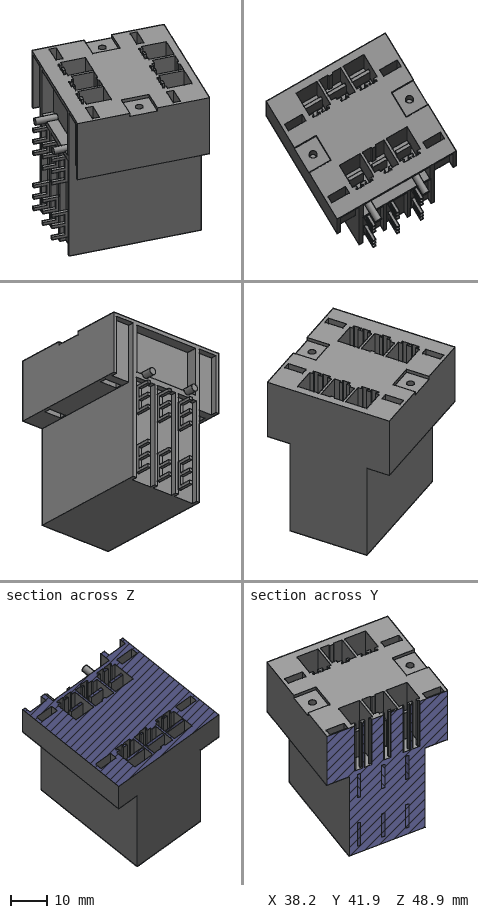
import cadquery as cq


HEIGHT = 48.9
DEPTH = 38.8
HEAD_WIDTH = 38.25
TRUNK_WIDTH = 24.15
HEAD_HEIGHT = 18.8
WALL = 1.05
HEAD_BOTTOM = HEIGHT - HEAD_HEIGHT

WING_RECESS_DEPTH = 1.95
POCKET_WIDTH = 21.3
POCKET_DEPTH = 3.35
POCKET_TOP = HEIGHT - 1.25
POCKET_FLOOR = HEIGHT - 15.9
CHANNEL_WIDTH = 6.65
CHANNEL_DEPTH = 1.75
CHANNEL_TOP = 31.35
POLE_PITCH = 7.65
CHANNEL_SHIFT = 0.1

PIN_REACH = 3.15
PEG_DIAMETER = 2.1
PEG_Z = 33.1

SEAT_LENGTH = 7.05
SEAT_WIDTH = 8.05
SCREW_DIAMETER = 2.15
SCREW_X = 15.45
SCREW_DEPTH = 4.9
SLOT_LENGTH = 5.6
SLOT_WIDTH = 2.1
SLOT_X = 15.25
FRONT_SLOT_Y = 5.75

ROW_PITCH = 23.7
WELL_DEPTH = 17.1
FRONT_WELL_BACK = 12.8
OUTER_WELL_INSIDE = 4.2
OUTER_WELL_WIDTH = 6.65
WELL_LENGTH = 7.25
OUTER_STEP_WIDTH = 2.5
OUTER_STEP = 0.2
OUTER_GROOVES_X = (6.15, 9.05)
MIDDLE_WELL_WIDTH = 6.9
MIDDLE_WELL_LENGTH = 6.6
MIDDLE_SHELF_LEFT = -1.95
MIDDLE_SHELF_RIGHT = 1.55
MIDDLE_CORNER_STEP = 1.25
GROOVE_NECK_WIDTH = 1.35
GROOVE_NECK_LENGTH = 0.65
GROOVE_FOOT_WIDTH = 2.35
GROOVE_FOOT_LENGTH = 0.45
KEY_WIDTH = 1.5
KEY_TIP_WIDTH = 1.12
KEY_HEIGHT = 0.45

METAL = 0.95
TINE_COUNT = 3
TINE_PITCH = 3.8
TINE_HEIGHT = 1.0
COMB_SHIFT = -1.3
COMB_FRONT = 0.75
FRONT_COMB_BOTTOM = 21.15
BACK_COMB_BOTTOM = 2.7
BLADE_TOP = 41.55
FRONT_BLADE_Y = 9.5
FRONT_BLADE_WIDTH = 4.5
BACK_BLADE_WIDTH = 6.15

SIDES = (-1, 1)
POLES_X = [-POLE_PITCH, 0, POLE_PITCH]


def block(x_range, y_range, z_range):
    """Axis-aligned box between the given limits."""
    (x0, x1), (y0, y1), (z0, z1) = sorted(x_range), sorted(y_range), sorted(z_range)
    return cq.Workplane("XY").box(x1 - x0, y1 - y0, z1 - z0, centered=False).translate((x0, y0, z0))


def centred(middle, size):
    """Limits of a span of the given size around its middle."""
    return middle - size / 2, middle + size / 2


def housing_blank():
    trunk = block(centred(0, TRUNK_WIDTH), (0, DEPTH), (0, HEIGHT))
    head = block(centred(0, HEAD_WIDTH), (0, DEPTH), (HEAD_BOTTOM, HEIGHT))
    return trunk.union(head)


def front_recesses():
    """Recesses beside the trunk, the pocket above the pegs and one open-ended channel per pole."""
    cuts = block(centred(0, POCKET_WIDTH), (0, POCKET_DEPTH), (POCKET_FLOOR, POCKET_TOP))
    for side in SIDES:
        wing_x = (side * TRUNK_WIDTH / 2, side * (HEAD_WIDTH / 2 - WALL))
        cuts = cuts.union(block(wing_x, (0, WING_RECESS_DEPTH), (HEAD_BOTTOM, HEIGHT - WALL)))
    for pole_x in POLES_X:
        channel_x = centred(pole_x + CHANNEL_SHIFT, CHANNEL_WIDTH)
        cuts = cuts.union(block(channel_x, (0, CHANNEL_DEPTH), (0, CHANNEL_TOP)))
    return cuts


def pegs():
    """Round pegs that start at the back wall of the pocket and stand out of the front face."""
    peg_length = POCKET_DEPTH + PIN_REACH
    return (
        cq.Workplane("XZ", origin=(0, POCKET_DEPTH, 0))
        .pushPoints([(side * POLE_PITCH, PEG_Z) for side in SIDES])
        .circle(PEG_DIAMETER / 2)
        .extrude(peg_length)
    )


def mounting_cuts():
    """Screw seats with blind holes, and strap slots straight through the head."""
    seat_floor = HEIGHT - WALL
    cuts = (
        cq.Workplane("XY", origin=(0, DEPTH / 2, seat_floor))
        .pushPoints([(side * SCREW_X, 0) for side in SIDES])
        .circle(SCREW_DIAMETER / 2)
        .extrude(-SCREW_DEPTH)
    )
    for side in SIDES:
        seat_x = (side * HEAD_WIDTH / 2, side * (HEAD_WIDTH / 2 - SEAT_LENGTH))
        cuts = cuts.union(block(seat_x, centred(DEPTH / 2, SEAT_WIDTH), (seat_floor, HEIGHT)))
        for slot_y in (FRONT_SLOT_Y, FRONT_SLOT_Y + ROW_PITCH):
            slot_x = centred(side * SLOT_X, SLOT_LENGTH)
            cuts = cuts.union(block(slot_x, centred(slot_y, SLOT_WIDTH), (HEAD_BOTTOM, HEIGHT)))
    return cuts


def well_block(x_range, y_range):
    return block(x_range, y_range, (HEIGHT - WELL_DEPTH, HEIGHT))


def tee_groove(x, front):
    """T-shaped groove in the front wall of a well: a narrow neck and a wider foot."""
    foot_back = front - GROOVE_NECK_LENGTH
    neck = well_block(centred(x, GROOVE_NECK_WIDTH), (foot_back, front))
    foot = well_block(centred(x, GROOVE_FOOT_WIDTH), (foot_back - GROOVE_FOOT_LENGTH, foot_back))
    return neck.union(foot)


def outer_well():
    """Right-hand outer well of the front row; the left-hand one is its mirror image."""
    back = FRONT_WELL_BACK
    front = back - WELL_LENGTH
    inside = OUTER_WELL_INSIDE
    well = well_block((inside, inside + OUTER_WELL_WIDTH), (front, back))
    well = well.union(well_block((inside, inside + OUTER_STEP_WIDTH), (front - OUTER_STEP, back)))
    for groove_x in OUTER_GROOVES_X:
        well = well.union(tee_groove(groove_x, front))
    return well


def middle_well():
    """Middle well of the front row, with a stepped front wall and a key on its back wall."""
    back = FRONT_WELL_BACK
    half_width = MIDDLE_WELL_WIDTH / 2
    shelf_front = back - WELL_LENGTH
    corner_front = back - MIDDLE_WELL_LENGTH - MIDDLE_CORNER_STEP
    well = well_block((-half_width, half_width), (back - MIDDLE_WELL_LENGTH, back))
    well = well.union(well_block((MIDDLE_SHELF_LEFT, MIDDLE_SHELF_RIGHT), (shelf_front, back)))
    well = well.union(well_block((MIDDLE_SHELF_RIGHT, half_width), (corner_front, back)))
    well = well.union(tee_groove(0, shelf_front))
    key = (
        cq.Workplane("XY", origin=(0, back, HEIGHT))
        .moveTo(-KEY_WIDTH / 2, 0)
        .lineTo(-KEY_TIP_WIDTH / 2, -KEY_HEIGHT)
        .lineTo(KEY_TIP_WIDTH / 2, -KEY_HEIGHT)
        .lineTo(KEY_WIDTH / 2, 0)
        .close()
        .extrude(-WELL_DEPTH)
    )
    return well.cut(key)


def wells():
    right_well = outer_well()
    front_row = middle_well().union(right_well).union(right_well.mirror("YZ"))
    return front_row.union(front_row.translate((0, ROW_PITCH, 0)))


def contact(pole_x, comb_bottom, blade_y, blade_width):
    """Comb plate with tines standing out of the front, joined to an upright blade."""
    comb_x = centred(pole_x + COMB_SHIFT, METAL)
    comb_height = (TINE_COUNT - 1) * TINE_PITCH + TINE_HEIGHT
    comb_z = (comb_bottom, comb_bottom + comb_height)
    body = block(comb_x, (COMB_FRONT, blade_y), comb_z)
    blade = block(centred(pole_x, blade_width), centred(blade_y, METAL), (comb_bottom, BLADE_TOP))
    body = body.union(blade)
    for index in range(TINE_COUNT):
        tine_bottom = comb_bottom + index * TINE_PITCH
        tine_z = (tine_bottom, tine_bottom + TINE_HEIGHT)
        body = body.union(block(comb_x, (-PIN_REACH, COMB_FRONT), tine_z))
    return body


def contact_set():
    """One front-row and one back-row contact for each pole."""
    contacts = []
    back_blade_y = FRONT_BLADE_Y + ROW_PITCH
    for pole_x in POLES_X:
        contacts.append(contact(pole_x, FRONT_COMB_BOTTOM, FRONT_BLADE_Y, FRONT_BLADE_WIDTH))
        contacts.append(contact(pole_x, BACK_COMB_BOTTOM, back_blade_y, BACK_BLADE_WIDTH))
    return contacts


def housing_around(contacts):
    """Housing with recesses that match the contacts seated in it."""
    body = housing_blank().cut(front_recesses()).union(pegs())
    body = body.cut(mounting_cuts()).cut(wells())
    for seated_contact in contacts:
        body = body.cut(seated_contact)
    return body


contacts = contact_set()
housing = housing_around(contacts)

result = cq.Compound.makeCompound([*housing.vals(), *[terminal.val() for terminal in contacts]])